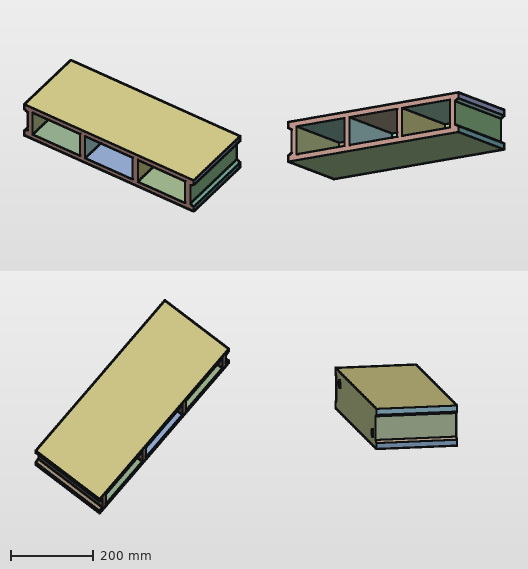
import cadquery as cq
import math

LENGTH = 500.0
DEPTH = 200.0
HEIGHT = 100.0

WALL = 15.0

CHANNEL_DEPTH = 10.0
FLANK_ANGLE = 30.0
FLANK_RISE = CHANNEL_DEPTH * math.tan(math.radians(FLANK_ANGLE))

POCKET_COUNT = 3
POCKETS_SPAN = LENGTH - 2 * (CHANNEL_DEPTH + WALL)
POCKET_WIDTH = (POCKETS_SPAN - (POCKET_COUNT - 1) * WALL) / POCKET_COUNT
POCKET_PITCH = POCKET_WIDTH + WALL
POCKET_HEIGHT = HEIGHT - 2 * WALL
POCKET_DEPTH = DEPTH - WALL

HOLE_DIAMETER = 20.0
HOLE_END_INSET = 50.0
HOLE_EDGE_INSET = 30.0
HOLE_X = LENGTH / 2 - HOLE_END_INSET
HOLE_Z = HEIGHT / 2 - HOLE_EDGE_INSET


def make_body():
    """Block with a channel running along Y in each end face."""
    end_x = LENGTH / 2
    channel_x = end_x - CHANNEL_DEPTH
    top_z = HEIGHT / 2
    lip_z = top_z - WALL
    channel_z = lip_z - FLANK_RISE
    right_end = [
        (end_x, -top_z),
        (end_x, -lip_z),
        (channel_x, -channel_z),
        (channel_x, channel_z),
        (end_x, lip_z),
        (end_x, top_z),
    ]
    left_end = [(-x, -z) for x, z in right_end]
    profile = cq.Workplane("XZ").polyline(right_end + left_end).close()
    return profile.extrude(DEPTH / 2, both=True)


def make_pockets():
    """Row of equal rectangular pockets reaching back to the rear wall."""
    return (
        cq.Workplane("XZ", origin=(0, -DEPTH / 2, 0))
        .rarray(POCKET_PITCH, 1, POCKET_COUNT, 1)
        .rect(POCKET_WIDTH, POCKET_HEIGHT)
        .extrude(-POCKET_DEPTH)
    )


def make_holes():
    """Two cylinders that pierce the back wall."""
    return (
        cq.Workplane("XZ", origin=(0, DEPTH / 2, 0))
        .pushPoints([(-HOLE_X, -HOLE_Z), (HOLE_X, HOLE_Z)])
        .circle(HOLE_DIAMETER / 2)
        .extrude(WALL)
    )


result = make_body().cut(make_pockets()).cut(make_holes())